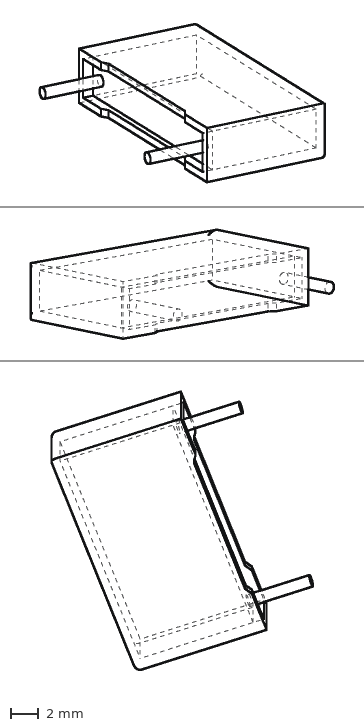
import cadquery as cq

case_width = 18.3
case_depth = 10.08
case_height = 4.2
wall = 0.6
back_fillet = 0.5

relief_depth = 0.33
relief_mouth_inset = 3.15
relief_floor_inset = 3.68

recess_depth = 0.82

lead_pitch = 15.0
lead_diameter = 0.88
lead_projection = 4.0

cavity_width = case_width - 2 * wall
cavity_height = case_height - 2 * wall
cavity_depth = case_depth - wall
potting_depth = cavity_depth - recess_depth


def block(width, depth, height, front):
    """Box centred on X and Z that runs from Y = front toward +Y."""
    box = cq.Workplane("XY").box(width, depth, height, centered=(True, False, True))
    return box.translate((0, front, 0))


def make_rim_relief():
    mouth_half = case_width / 2 - relief_mouth_inset
    floor_half = case_width / 2 - relief_floor_inset
    return (
        cq.Workplane("XY")
        .moveTo(-mouth_half, 0)
        .lineTo(-floor_half, relief_depth)
        .lineTo(floor_half, relief_depth)
        .lineTo(mouth_half, 0)
        .close()
        .extrude(case_height / 2, both=True)
    )


def make_case():
    shell = block(case_width, case_depth, case_height, 0)
    shell = shell.faces(">Y").edges().fillet(back_fillet)
    shell = shell.cut(block(cavity_width, cavity_depth, cavity_height, 0))
    return shell.cut(make_rim_relief())


def make_potting():
    return block(cavity_width, potting_depth, cavity_height, recess_depth)


def make_lead(x):
    return (
        cq.Workplane("XZ", origin=(x, recess_depth, 0))
        .circle(lead_diameter / 2)
        .extrude(recess_depth + lead_projection)
    )


case = make_case()
potting = make_potting()
leads = [make_lead(side * lead_pitch / 2) for side in (-1, 1)]

result = cq.Compound.makeCompound([case.val(), potting.val(), *[lead.val() for lead in leads]])